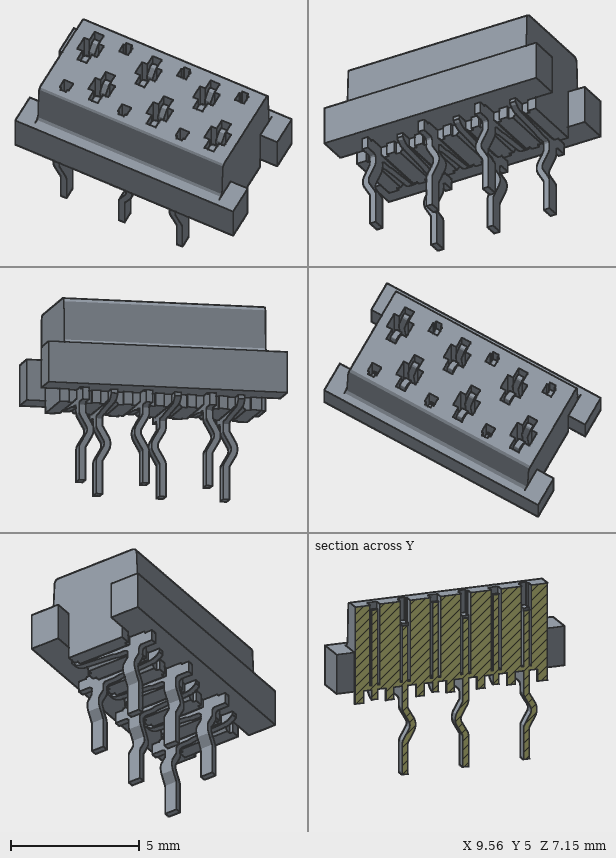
import cadquery as cq
import math


rail_length = 9.56
flange_width = 5.0
flange_height = 1.62
body_length = 8.07
body_top = 3.51
body_top_half_width = 1.92
body_foot_half_width = 2.01
body_top_radius = 0.2
body_foot_radius = 0.24
core_width = 2.5
core_bottom = -0.5

pitch = 1.27
row_offset = pitch
grid_shift = 0.03
lead_thickness = 0.26

cavity_floor = 0.19
slot_width = 0.4
cross_center = 0.76
cross_length = 1.48
cross_wing_width = 0.87
cross_wing_length = 0.59
test_hole_inner = 1.1
test_hole_outer = 1.47
test_notch_outer = 1.59

cell_width = 0.93
cell_depth = 0.14
groove_width = 0.57

bar_bottom = -0.55
foot_end = -2.15
foot_top = -0.08
foot_step_outer = -1.83
foot_step_inner = -1.78
tail_width = 0.54
tail_tip = -3.64
tail_root_radius = 0.14
post_outer = -1.58
post_inner = -test_hole_inner
post_shoulder = 0.1
post_top = 2.58
bar_end = 1.625
bar_end_bottom = -0.15
bar_curve_middle = (1.5, -0.28)
bar_curve_end = (1.22, -0.4)
bar_slope_end = (-0.29, -0.51)
bar_level_start = -0.46

kink_angle = math.radians(30)
kink_middle = -1.63
kink_half_height = 0.71
kink_apex_radius = 0.3
kink_end_radius = 0.11
kink_sides = (-1, -1, 1, 1, -1, -1)

finger_center = 0.765
finger_top = 3.3
finger_outer = 0.57
finger_contact = 0.1
finger_lead_in = 0.38
finger_root = 0.325
contact_height = 3.0
finger_top_radius = 0.11
finger_outer_radius = 0.06
finger_contact_radius = 0.08


def block(x_size, y_range, z_range, x_center=0.0):
    """Box centred on x_center that spans the given Y and Z ranges."""
    y_low, y_high = sorted(y_range)
    z_low, z_high = z_range
    box = cq.Workplane("XY").box(x_size, y_high - y_low, z_high - z_low)
    return box.translate((x_center, (y_low + y_high) / 2, (z_low + z_high) / 2))


def round_edge(solid, point, radius):
    """Fillet the edge whose middle is at the given point."""
    return solid.edges(cq.selectors.NearestToPointSelector(point)).fillet(radius)


def make_housing():
    """Drafted body and core between two full-length flange rails."""
    half_core = core_width / 2
    half_flange = flange_width / 2
    body_outline = [
        (-half_core, core_bottom),
        (half_core, core_bottom),
        (half_core, 0),
        (half_flange, 0),
        (half_flange, flange_height),
        (body_foot_half_width, flange_height),
        (body_top_half_width, body_top),
        (-body_top_half_width, body_top),
        (-body_foot_half_width, flange_height),
        (-half_flange, flange_height),
        (-half_flange, 0),
        (-half_core, 0),
    ]
    housing = cq.Workplane("YZ").polyline(body_outline).close().extrude(body_length / 2, both=True)
    for side in (-1, 1):
        housing = round_edge(housing, (0, side * body_top_half_width, body_top), body_top_radius)
        housing = round_edge(housing, (0, side * body_foot_half_width, flange_height), body_foot_radius)
    for side in (-1, 1):
        rail = block(rail_length, (side * half_core, side * half_flange), (0, flange_height))
        housing = housing.union(rail)
    return housing


def socket_cutter(x, side):
    """Cross-shaped mating socket on one side of Y = 0 and a notched test hole on the other."""
    depth = (cavity_floor, body_top)
    middle = side * cross_center
    long_slot = (middle - cross_length / 2, middle + cross_length / 2)
    wings = (middle - cross_wing_length / 2, middle + cross_wing_length / 2)
    cutter = block(slot_width, long_slot, depth, x)
    cutter = cutter.union(block(cross_wing_width, wings, depth, x))
    cutter = cutter.union(block(slot_width, (-side * test_hole_inner, -side * test_hole_outer), depth, x))
    notch = (-side * test_hole_inner, -side * test_notch_outer)
    return cutter.union(block(lead_thickness, notch, depth, x))


def underside_cutter(x):
    """V groove across the core, with a shallow cell in each long face of the core."""
    half_core = core_width / 2
    half_groove = groove_width / 2
    groove_outline = [
        (x - half_groove, core_bottom),
        (x, core_bottom + half_groove),
        (x + half_groove, core_bottom),
    ]
    cutter = cq.Workplane("XZ").polyline(groove_outline).close().extrude(half_core, both=True)
    for side in (-1, 1):
        cell = (side * (half_core - cell_depth), side * half_core)
        cutter = cutter.union(block(cell_width, cell, (core_bottom, 0), x))
    return cutter


def make_finger(direction):
    """One spring finger with a sloped, rounded lead-in; direction is where its back points."""
    outline = [
        (finger_outer, cavity_floor),
        (finger_outer, finger_top),
        (finger_lead_in, finger_top),
        (finger_contact, contact_height),
        (finger_root, cavity_floor),
    ]
    points = [(finger_center + direction * offset, z) for offset, z in outline]
    finger = cq.Workplane("YZ").polyline(points).close().extrude(lead_thickness / 2, both=True)
    radii = (finger_outer_radius, finger_top_radius, finger_contact_radius)
    for (y, z), radius in zip(points[1:4], radii):
        finger = round_edge(finger, (0, y, z), radius)
    return finger


def make_lead_side():
    """Foot, tail, test post and base bar, as a plate wide enough to hold the kink."""
    tail_outer = -row_offset - tail_width / 2
    tail_inner = -row_offset + tail_width / 2
    plate = (
        cq.Workplane("YZ")
        .moveTo(foot_end, bar_bottom)
        .lineTo(foot_end, foot_top)
        .lineTo(foot_step_outer, foot_top)
        .lineTo(foot_step_inner, 0)
        .lineTo(foot_step_inner, cavity_floor)
        .lineTo(post_outer, cavity_floor)
        .lineTo(post_outer, post_top)
        .lineTo(post_inner - post_shoulder, post_top)
        .lineTo(post_inner - post_shoulder, post_top - post_shoulder)
        .lineTo(post_inner, post_top - post_shoulder)
        .lineTo(post_inner, cavity_floor)
        .lineTo(bar_end, cavity_floor)
        .lineTo(bar_end, bar_end_bottom)
        .threePointArc(bar_curve_middle, bar_curve_end)
        .lineTo(*bar_slope_end)
        .lineTo(bar_level_start, bar_bottom)
        .lineTo(tail_inner, bar_bottom)
        .lineTo(tail_inner, tail_tip)
        .lineTo(tail_outer, tail_tip)
        .lineTo(tail_outer, bar_bottom)
        .close()
        .extrude(pitch / 2, both=True)
    )
    for y in (tail_outer, tail_inner):
        plate = round_edge(plate, (0, y, bar_bottom), tail_root_radius)
    return plate


def make_lead_strip(kink_side):
    """Constant-thickness strip seen along Y, with a rounded kink towards kink_side."""
    half = lead_thickness / 2
    apex = kink_half_height * math.tan(kink_angle)
    corner_shift = lead_thickness * math.tan(kink_angle / 2)
    slant_width = lead_thickness / math.cos(kink_angle)
    near_top = kink_middle + kink_half_height
    near_bottom = kink_middle - kink_half_height
    outline = [
        (half, body_top),
        (half, near_top),
        (half + apex, kink_middle),
        (half, near_bottom),
        (half, tail_tip),
        (-half, tail_tip),
        (-half, near_bottom + corner_shift),
        (half + apex - slant_width, kink_middle),
        (-half, near_top - corner_shift),
        (-half, body_top),
    ]
    points = [(kink_side * x, z) for x, z in outline]
    strip = cq.Workplane("XZ").polyline(points).close().extrude(flange_width / 2, both=True)
    bends = [
        (1, kink_end_radius),
        (2, kink_apex_radius + lead_thickness),
        (3, kink_end_radius),
        (6, kink_end_radius + lead_thickness),
        (7, kink_apex_radius),
        (8, kink_end_radius + lead_thickness),
    ]
    for index, radius in bends:
        x, z = points[index]
        strip = round_edge(strip, (x, 0, z), radius)
    return strip


def make_lead(kink_side):
    """Whole lead at X = 0, with its tail at negative Y and its fingers at positive Y."""
    lead = make_lead_side().intersect(make_lead_strip(kink_side))
    for direction in (-1, 1):
        lead = lead.union(make_finger(direction))
    return lead


result = make_housing()
for index, kink_side in enumerate(kink_sides):
    x = (index - (len(kink_sides) - 1) / 2) * pitch + grid_shift
    side = 1 if index % 2 == 0 else -1
    lead = make_lead(kink_side)
    if side < 0:
        lead = lead.mirror("XZ")
    result = result.cut(socket_cutter(x, side)).cut(underside_cutter(x))
    result = result.union(lead.translate((x, 0, 0)))